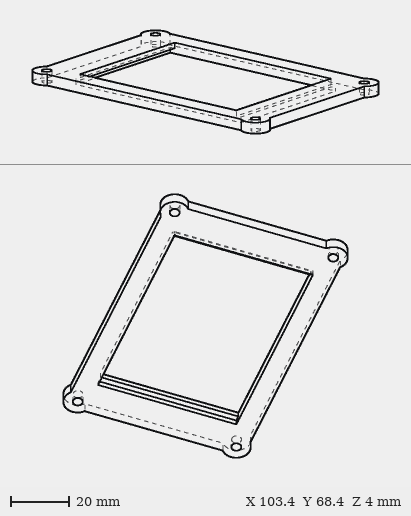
import cadquery as cq

thickness = 4.0
plate_length = 99.9
plate_width = 66.0

lug_radius = 5.0
overall_length = 103.42
overall_width = 68.42
screw_hole_diameter = 3.4
hole_spacing_x = overall_length - 2 * lug_radius
hole_spacing_y = overall_width - 2 * lug_radius

window_length = 69.9
window_width = 50.95

recess_depth = 2.0
recess_overhang = 2.0
recess_length = window_length + 2 * recess_overhang


def at_screw_positions(workplane):
    """Place the four screw centres on the given workplane."""
    return workplane.rect(hole_spacing_x, hole_spacing_y, forConstruction=True).vertices()


def make_plate():
    return cq.Workplane("XY").rect(plate_length, plate_width).extrude(thickness)


def make_lugs():
    return at_screw_positions(cq.Workplane("XY")).circle(lug_radius).extrude(thickness)


def make_window():
    return cq.Workplane("XY").rect(window_length, window_width).extrude(thickness)


def make_underside_recess():
    """Same width as the window, leaving a thin lip above it at each end."""
    return cq.Workplane("XY").rect(recess_length, window_width).extrude(recess_depth)


def make_screw_holes():
    return at_screw_positions(cq.Workplane("XY")).circle(screw_hole_diameter / 2).extrude(thickness)


plate = make_plate().union(make_lugs())
opening = make_window().union(make_underside_recess())
result = plate.cut(opening).cut(make_screw_holes())